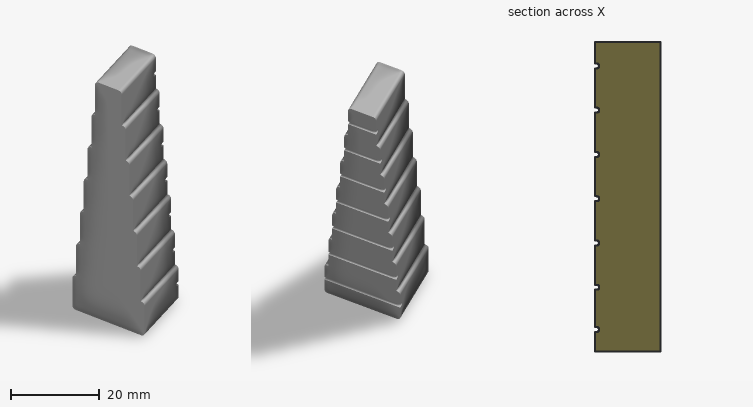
import cadquery as cq

step_count = 7
step_height = 10.0
base_width = 19.0
width_reduction = 2.0
depth = 15.0
corner_radius = 0.9

groove_width = 1.0
groove_depth = 1.0
base_groove_height = step_height / 2
upper_groove_height = (step_height - corner_radius) / 2


def block(level):
    """Block with rounded upper edges; the lowest one is rounded underneath too."""
    width = base_width - level * width_reduction
    body = cq.Workplane("XY").box(width, depth, step_height, centered=(True, True, False))
    rounded_edges = "|Y" if level == 0 else "|Y and >Z"
    body = body.edges(rounded_edges).fillet(corner_radius)
    return body.translate((0, 0, level * step_height))


def groove(level):
    """Cutter running the full X width, with a half-round bottom inside the block."""
    height_in_block = base_groove_height if level == 0 else upper_groove_height
    center_z = level * step_height + height_in_block
    face_y = depth / 2
    radius = groove_width / 2
    round_center_y = face_y - groove_depth + radius
    return (
        cq.Workplane("YZ")
        .moveTo(face_y, center_z - radius)
        .lineTo(round_center_y, center_z - radius)
        .threePointArc((face_y - groove_depth, center_z), (round_center_y, center_z + radius))
        .lineTo(face_y, center_z + radius)
        .close()
        .extrude(base_width / 2, both=True)
    )


tower = block(0)
for level in range(1, step_count):
    tower = tower.union(block(level), clean=False)

for level in range(step_count):
    tower = tower.cut(groove(level), clean=False)

result = tower